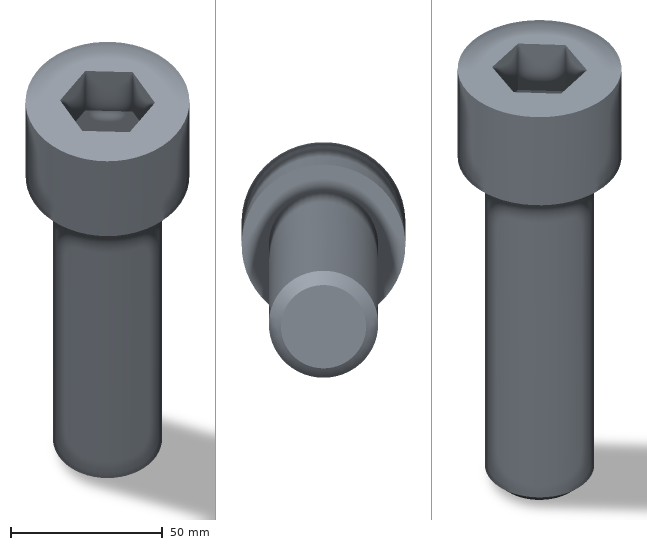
import cadquery as cq
import math

total_length = 166.0
head_diameter = 54.0
shank_diameter = 36.0
head_height = shank_diameter
thread_length = 84.0
tip_chamfer = 4.0
socket_across_flats = 27.0
socket_depth = 19.0

shank_length = total_length - head_height
plain_length = shank_length - thread_length
socket_across_corners = socket_across_flats / math.cos(math.radians(30))


def make_head():
    return cq.Workplane("XY").circle(head_diameter / 2).extrude(head_height)


def make_shank():
    """Plain length followed by the threaded length, which ends in a chamfered tip."""
    plain = cq.Workplane("XY").circle(shank_diameter / 2).extrude(-plain_length)
    threaded = (
        cq.Workplane("XY", origin=(0, 0, -shank_length))
        .circle(shank_diameter / 2)
        .extrude(thread_length)
        .faces("<Z")
        .chamfer(tip_chamfer)
    )
    return plain.union(threaded, clean=False)


def make_socket():
    """Hexagonal key socket with two corners on the X axis."""
    return (
        cq.Workplane("XY", origin=(0, 0, head_height))
        .polygon(6, socket_across_corners)
        .extrude(-socket_depth)
    )


screw = make_head().union(make_shank(), clean=False)
result = screw.cut(make_socket(), clean=False)